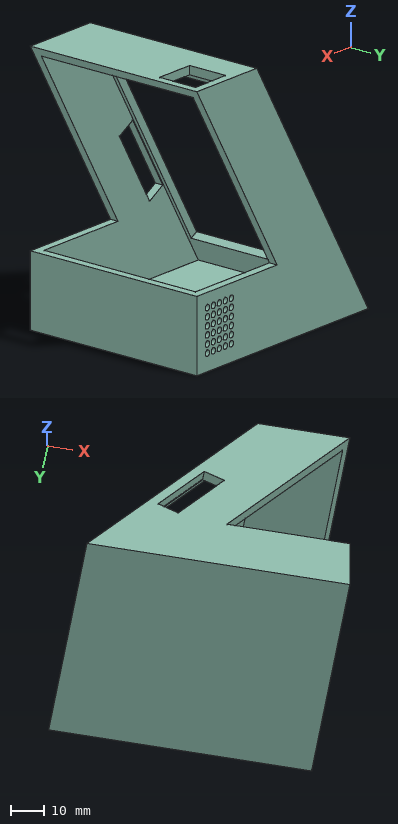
import cadquery as cq
import math

length = 80.0
width = 65.0
height = 90.0
base_height = 25.2
lean_angle = 60.0
wall = 3.0

window_width = 56.3
window_bottom_margin = 14.9
window_top_margin = 10.0

slot_start = 37.8
slot_length = 28.0
slot_depth = 3.2
slot_width = 7.0

roof_opening = 14.0

vent_diameter = 2.0
vent_column_pitch = 2.8
vent_row_pitch = 2.9
vent_columns = 5
vent_rows = 6
vent_edge_gap = 2.0
vent_floor_gap = 3.0

sine = math.sin(math.radians(lean_angle))
cosine = math.cos(math.radians(lean_angle))
slope_length = height / sine
half_width = width / 2
inner_half_width = half_width - wall
rear_inside = length - wall


def front_x(z, inset=0):
    """X of the front slope at height z, moved inward by inset along its normal."""
    return z * cosine / sine + inset / sine


def slope_point(along, inward):
    """X, Z of a point given along the front slope and inward from it."""
    return (along * cosine + inward * sine, along * sine - inward * cosine)


def prism(points, y_min, y_max):
    """Extrude an XZ outline between two Y positions."""
    return cq.Workplane("XZ", origin=(0, y_max, 0)).polyline(points).close().extrude(y_max - y_min)


def slope_block(start, end, near, far, y_min, y_max):
    """Block aligned with the front slope."""
    corners = [(start, near), (end, near), (end, far), (start, far)]
    return prism([slope_point(*corner) for corner in corners], y_min, y_max)


def outer_body():
    knee_x = length - front_x(height - base_height)
    outline = [
        (0, 0),
        (length, 0),
        (length, base_height),
        (knee_x, base_height),
        (length, height),
        (front_x(height), height),
    ]
    return prism(outline, -half_width, half_width)


def cavity():
    """Interior, open at the back of the leaning part and at the top of the base."""
    ceiling = height - wall
    outline = [
        (front_x(wall, wall), wall),
        (rear_inside, wall),
        (rear_inside, base_height),
        (length, base_height),
        (length, ceiling),
        (front_x(ceiling, wall), ceiling),
    ]
    return prism(outline, -inner_half_width, inner_half_width)


def screen_window():
    window_end = slope_length - window_top_margin
    return slope_block(window_bottom_margin, window_end, -wall, 2 * wall, -window_width / 2, window_width / 2)


def side_slot():
    slot_end = slot_start + slot_length
    return slope_block(slot_start, slot_end, slot_depth, slot_depth + slot_width, -half_width, -inner_half_width)


def roof_hole():
    """Square opening tucked into the rear +Y corner of the roof."""
    corner = cq.Workplane("XY", origin=(rear_inside, inner_half_width, height - wall))
    return corner.rect(-roof_opening, -roof_opening, centered=False).extrude(wall)


def vent_holes():
    centers = [
        (rear_inside - vent_edge_gap - column * vent_column_pitch, wall + vent_floor_gap + row * vent_row_pitch)
        for column in range(vent_columns)
        for row in range(vent_rows)
    ]
    plane = cq.Workplane("XZ", origin=(0, half_width, 0))
    return plane.pushPoints(centers).circle(vent_diameter / 2).extrude(wall)


result = (
    outer_body()
    .cut(cavity())
    .cut(screen_window())
    .cut(side_slot())
    .cut(roof_hole())
    .cut(vent_holes())
)